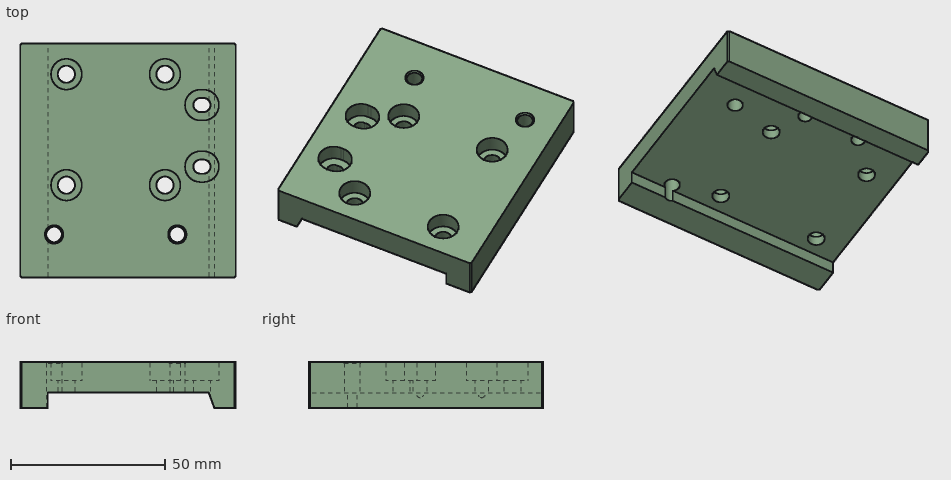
import cadquery as cq
import math

LENGTH_X = 70.0
LENGTH_Y = 76.0
HEIGHT = 15.0
CORNER_CHAMFER = 0.5

CHANNEL_DEPTH = 5.0
CHANNEL_LEFT = -26.0
CHANNEL_RIGHT = 28.0
CHANNEL_WALL_ANGLE = 20.0

BOLT_CENTRE = (-4.0, 10.0)
BOLT_SPACING_X = 32.0
BOLT_SPACING_Y = 36.0
BOLT_DIAMETER = 5.5
BOLT_BORE_DIAMETER = 10.0
BOLT_BORE_DEPTH = 6.0

SLOT_CENTRE = (24.0, 8.0)
SLOT_SPACING_Y = 20.0
SLOT_TRAVEL = 1.0
SLOT_WIDTH = 4.5
SLOT_BORE_WIDTH = 10.0
SLOT_BORE_DEPTH = 6.0

RIM_HOLE_CENTRE = (-4.0, -24.0)
RIM_HOLE_SPACING_X = 40.0
RIM_HOLE_DIAMETER = 5.0
RIM_DIAMETER = 6.0
COUNTERSINK_ANGLE = 90.0


def make_plate():
    """Rectangular plate with chamfered vertical corners."""
    plate = cq.Workplane("XY").box(LENGTH_X, LENGTH_Y, HEIGHT, centered=(True, True, False))
    return plate.edges("|Z").chamfer(CORNER_CHAMFER)


def make_channel():
    """Channel volume running the full length of the plate in Y."""
    slope_run = CHANNEL_DEPTH * math.tan(math.radians(CHANNEL_WALL_ANGLE))
    outline = [
        (CHANNEL_LEFT, 0),
        (CHANNEL_RIGHT, 0),
        (CHANNEL_RIGHT - slope_run, CHANNEL_DEPTH),
        (CHANNEL_LEFT, CHANNEL_DEPTH),
    ]
    return cq.Workplane("XZ").polyline(outline).close().extrude(LENGTH_Y / 2, both=True)


def top_pattern(body, centre, spacing_x=1, spacing_y=1, count_x=1, count_y=1):
    """Evenly spaced points on the top face, centred on the given XY position."""
    top = body.faces(">Z").workplane(origin=(*centre, HEIGHT))
    return top.rarray(spacing_x, spacing_y, count_x, count_y)


def cut_bolt_holes(body):
    """Four counterbored through holes."""
    points = top_pattern(body, BOLT_CENTRE, BOLT_SPACING_X, BOLT_SPACING_Y, 2, 2)
    return points.cboreHole(BOLT_DIAMETER, BOLT_BORE_DIAMETER, BOLT_BORE_DEPTH)


def cut_slots(body):
    """Two through slots, each with a wider slot-shaped counterbore."""
    through = top_pattern(body, SLOT_CENTRE, spacing_y=SLOT_SPACING_Y, count_y=2)
    body = through.slot2D(SLOT_TRAVEL + SLOT_WIDTH, SLOT_WIDTH).cutThruAll()
    bores = top_pattern(body, SLOT_CENTRE, spacing_y=SLOT_SPACING_Y, count_y=2)
    return bores.slot2D(SLOT_TRAVEL + SLOT_BORE_WIDTH, SLOT_BORE_WIDTH).cutBlind(-SLOT_BORE_DEPTH)


def cut_rim_holes(body):
    """Two through holes with a chamfered top rim."""
    points = top_pattern(body, RIM_HOLE_CENTRE, spacing_x=RIM_HOLE_SPACING_X, count_x=2)
    return points.cskHole(RIM_HOLE_DIAMETER, RIM_DIAMETER, COUNTERSINK_ANGLE)


result = make_plate().cut(make_channel())
result = cut_bolt_holes(result)
result = cut_slots(result)
result = cut_rim_holes(result)